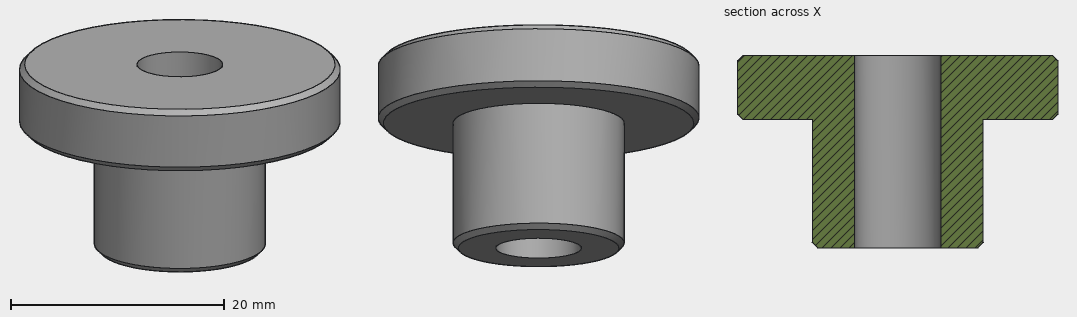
import cadquery as cq

flange_diameter = 30.0
flange_thickness = 6.0
shank_diameter = 16.0
shank_length = 12.0
bore_diameter = 8.0
edge_chamfer = 0.5


def make_flange():
    """Disc above the XY plane, chamfered on both rims."""
    disc = cq.Workplane("XY").circle(flange_diameter / 2).extrude(flange_thickness)
    return disc.edges().chamfer(edge_chamfer)


def make_shank():
    """Cylinder hanging below the flange, chamfered at its free end."""
    cylinder = cq.Workplane("XY").circle(shank_diameter / 2).extrude(-shank_length)
    return cylinder.faces("<Z").edges().chamfer(edge_chamfer)


def make_bore():
    """Plain through hole along the whole axis."""
    bore_length = flange_thickness + shank_length
    bore_start = cq.Workplane("XY").workplane(offset=-shank_length)
    return bore_start.circle(bore_diameter / 2).extrude(bore_length)


result = make_flange().union(make_shank()).cut(make_bore())